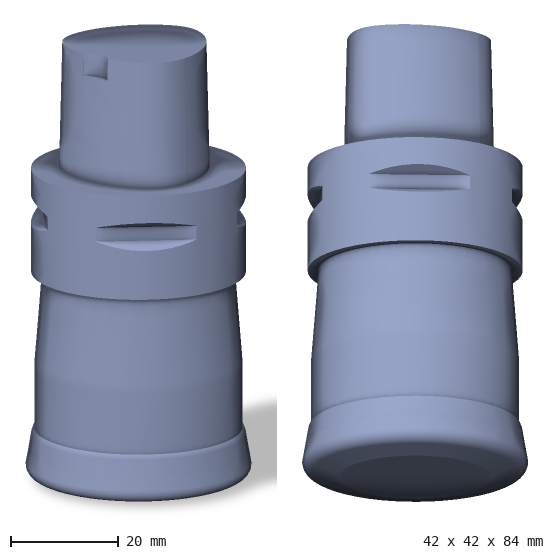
import cadquery as cq
import math

ring_top = 10.0
blend_bottom = 22.0
blend_top = 23.0
relief_bottom = 39.5
collar_bottom = 40.0
collar_top = 60.0
shank_top = 84.0

front_diameter = 38.71
relief_diameter = 36.0
collar_diameter = 40.0

shank_diameter = 28.0
shank_taper = 1 / 20
lobe_eccentricity = 0.9
lobe_half_angle = 30
lobe_count = 3
curve_steps = 24

notch_width = 6.0
notch_bottom = 79.75
notch_back_y = -10.85
notch_back_radius = 4.0

groove_count = 4
groove_first_angle = 45
groove_center_z = 52.1
groove_floor_distance = 17.65
groove_floor_width = 2.64
groove_side_angle = 30
groove_length = 30.0

ring_diameter = 42.0
ring_tilt = 10
ring_corner_radius = 2.0
ring_corner_z = 2.9
ring_shoulder_z = 8.8


def lobe_outline_point(mean_diameter, angle):
    """Point of the lobed outline whose normal points at `angle` degrees, with a lobe toward +Y."""
    turn = math.radians(angle - 90)
    e = lobe_eccentricity
    along = mean_diameter / 2 * math.cos(turn) + 2 * e * math.cos(2 * turn) - e * math.cos(4 * turn)
    across = mean_diameter / 2 * math.sin(turn) - 2 * e * math.sin(2 * turn) - e * math.sin(4 * turn)
    return -across, along


def lobe_outline(mean_diameter, height):
    """Closed wire of alternating lobe and flank curves."""
    span = 180 / lobe_count
    edges = []
    for index in range(2 * lobe_count):
        start = 90 - lobe_half_angle + index * span
        curve = cq.Workplane("XY", origin=(0, 0, height)).parametricCurve(
            lambda t: (*lobe_outline_point(mean_diameter, start + span * t), 0),
            N=curve_steps,
            makeWire=False,
        )
        edges.append(curve.val())
    return cq.Wire.assembleEdges(edges)


def make_shank():
    tip_diameter = shank_diameter - shank_taper * (shank_top - collar_top)
    base = lobe_outline(shank_diameter, collar_top)
    tip = lobe_outline(tip_diameter, shank_top)
    return cq.Workplane(cq.Solid.makeLoft([base, tip], True))


def make_notch():
    """Parallel-sided cutter with a curved back wall, open toward -Y."""
    half_width = notch_width / 2
    mouth_y = -shank_diameter / 2
    back_center_y = notch_back_y - notch_back_radius
    side_end_y = back_center_y + math.sqrt(notch_back_radius**2 - half_width**2)
    return (
        cq.Workplane("XY", origin=(0, 0, notch_bottom))
        .moveTo(-half_width, mouth_y)
        .lineTo(-half_width, side_end_y)
        .threePointArc((0, notch_back_y), (half_width, side_end_y))
        .lineTo(half_width, mouth_y)
        .close()
        .extrude(shank_top - notch_bottom)
    )


def make_turned_body():
    """Front cylinder, conical neck with a blended lower end, relief step and collar."""
    front_radius = front_diameter / 2
    relief_radius = relief_diameter / 2
    corner_z = (blend_bottom + blend_top) / 2
    slope = (front_radius - relief_radius) / (relief_bottom - corner_z)
    blend_top_radius = front_radius - slope * (blend_top - corner_z)
    return (
        cq.Workplane("XZ")
        .moveTo(0, ring_top)
        .lineTo(front_radius, ring_top)
        .lineTo(front_radius, blend_bottom)
        .tangentArcPoint((blend_top_radius, blend_top), relative=False)
        .lineTo(relief_radius, relief_bottom)
        .lineTo(relief_radius, collar_bottom)
        .lineTo(collar_diameter / 2, collar_bottom)
        .lineTo(collar_diameter / 2, collar_top)
        .lineTo(0, collar_top)
        .close()
        .revolve(360, (0, 0, 0), (0, 1, 0))
    )


def make_groove(angle):
    """Straight trapezoidal cutter whose floor faces outward at `angle` degrees."""
    depth = collar_diameter / 2 - groove_floor_distance
    floor_half = groove_floor_width / 2
    mouth_half = floor_half + depth * math.tan(math.radians(groove_side_angle))
    return (
        cq.Workplane("XZ", origin=(0, 0, groove_center_z))
        .polyline([
            (groove_floor_distance, -floor_half),
            (groove_floor_distance + depth, -mouth_half),
            (groove_floor_distance + depth, mouth_half),
            (groove_floor_distance, floor_half),
        ])
        .close()
        .extrude(groove_length / 2, both=True)
        .rotate((0, 0, 0), (0, 0, 1), angle)
    )


def make_holder():
    holder = make_turned_body().union(make_shank()).cut(make_notch())
    for index in range(groove_count):
        holder = holder.cut(make_groove(groove_first_angle + index * 360 / groove_count))
    return holder


def make_cutting_ring():
    """Flared disc with equal arcs at both ends of its side and an underside sloping to a flat."""
    tilt = math.radians(ring_tilt)
    corner_x = ring_diameter / 2 - ring_corner_radius
    shoulder_x = corner_x - (ring_shoulder_z - ring_corner_z) * math.tan(tilt)
    shoulder_end = math.asin((ring_top - ring_shoulder_z) / ring_corner_radius)

    def arc_point(center_x, center_z, angle):
        return (
            center_x + ring_corner_radius * math.cos(angle),
            center_z + ring_corner_radius * math.sin(angle),
        )

    underside_end = arc_point(corner_x, ring_corner_z, tilt - math.pi / 2)
    flat_radius = underside_end[0] - underside_end[1] / math.tan(tilt)
    return (
        cq.Workplane("XZ")
        .lineTo(flat_radius, 0)
        .lineTo(*underside_end)
        .threePointArc(
            arc_point(corner_x, ring_corner_z, tilt - math.pi / 4),
            arc_point(corner_x, ring_corner_z, tilt),
        )
        .lineTo(*arc_point(shoulder_x, ring_shoulder_z, tilt))
        .threePointArc(
            arc_point(shoulder_x, ring_shoulder_z, (tilt + shoulder_end) / 2),
            arc_point(shoulder_x, ring_shoulder_z, shoulder_end),
        )
        .lineTo(0, ring_top)
        .close()
        .revolve(360, (0, 0, 0), (0, 1, 0))
    )


holder = make_holder()
cutting_ring = make_cutting_ring()
result = cq.Compound.makeCompound([holder.val(), cutting_ring.val()])